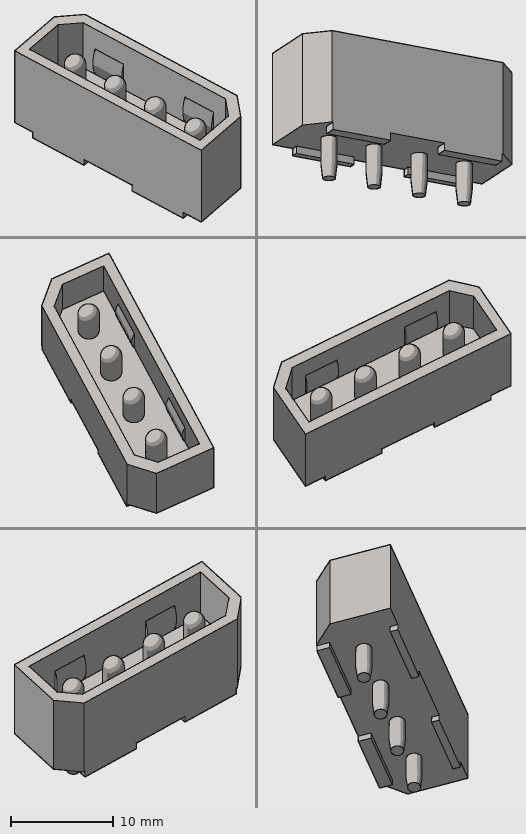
import cadquery as cq
import math

length = 23.2
width = 8.37
body_height = 9.53
corner_chamfer = 2.13

end_wall = 1.0
side_wall = 1.07
cavity_chamfer = 1.75
floor_height = 3.55

foot_height = 0.77
foot_length = 6.38
foot_spacing = 12.34
front_foot_width = 0.8
back_foot_width = 1.32

pin_count = 4
pin_pitch = 4.99
row_offset = 0.1
contact_diameter = 2.1
contact_top = 8.12
tail_diameter = 1.6
tail_tip_diameter = 1.25
tail_length = 4.17
taper_length = 1.5

bump_length = 3.57
bump_spacing = 11.18
bump_top = 6.89
bump_depth = 0.32


def chamfered_prism(size_x, size_y, height, chamfer):
    """Upright block whose two +Y corners are cut off."""
    block = cq.Workplane("XY").box(size_x, size_y, height, centered=(True, True, False))
    return block.edges("|Z and >Y").chamfer(chamfer)


def make_housing():
    cavity_length = length - 2 * end_wall
    cavity_width = width - 2 * side_wall
    cavity_depth = body_height - floor_height
    outer = chamfered_prism(length, width, body_height, corner_chamfer)
    cavity = chamfered_prism(cavity_length, cavity_width, cavity_depth, cavity_chamfer)
    return outer.cut(cavity.translate((0, 0, floor_height)))


def make_foot(center_x, foot_width, center_y):
    foot = cq.Workplane("XY").box(foot_length, foot_width, foot_height, centered=(True, True, False))
    return foot.translate((center_x, center_y, -foot_height))


def make_pin(center_x):
    """Round-nosed contact above the floor and a tapered tail below the body."""
    contact_radius = contact_diameter / 2
    tail_radius = tail_diameter / 2
    nose_center = contact_top - contact_radius
    nose_offset = contact_radius * math.sin(math.radians(45))
    profile = (
        cq.Workplane("XZ")
        .moveTo(0, -tail_length)
        .lineTo(tail_tip_diameter / 2, -tail_length)
        .lineTo(tail_radius, taper_length - tail_length)
        .lineTo(tail_radius, floor_height / 2)
        .lineTo(contact_radius, floor_height / 2)
        .lineTo(contact_radius, nose_center)
        .threePointArc((nose_offset, nose_center + nose_offset), (0, contact_top))
        .close()
    )
    return profile.revolve(360, (0, 0, 0), (0, 1, 0)).translate((center_x, 0, 0))


def make_bump(center_x, side):
    """Shallow arc bulging inward from the wall on the given side of Y."""
    wall_y = side * (width / 2 - side_wall)
    middle = (wall_y - side * bump_depth, (floor_height + bump_top) / 2)
    profile = (
        cq.Workplane("YZ")
        .moveTo(wall_y, floor_height)
        .threePointArc(middle, (wall_y, bump_top))
        .close()
    )
    return profile.extrude(bump_length / 2, both=True).translate((center_x, 0, 0))


result = make_housing()

for end in (-1, 1):
    foot_x = end * foot_spacing / 2
    front_foot_y = (front_foot_width - width) / 2
    back_foot_y = (width - back_foot_width) / 2
    result = result.union(make_foot(foot_x, front_foot_width, front_foot_y))
    result = result.union(make_foot(foot_x, back_foot_width, back_foot_y))
    for side in (-1, 1):
        result = result.union(make_bump(end * bump_spacing / 2, side))

for index in range(pin_count):
    pin_x = row_offset + (index - (pin_count - 1) / 2) * pin_pitch
    result = result.union(make_pin(pin_x))